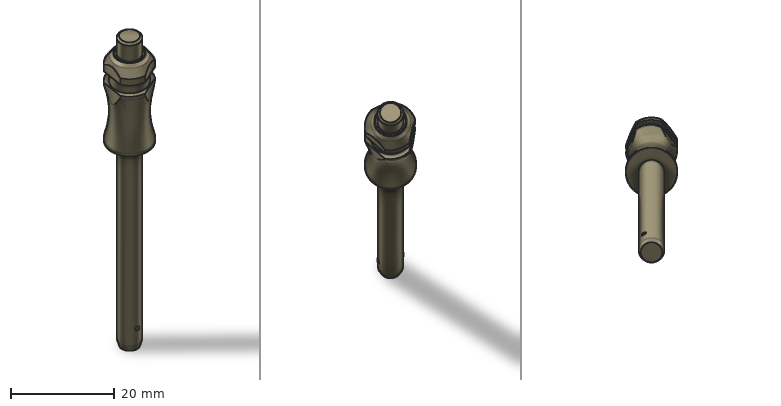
import cadquery as cq
import math

tip_height = 1.6
ball_height = 5.55
grip_bottom = 51.1
grip_top = 66.0
rim_height = 0.7
head_bottom = 68.8
head_edge = 70.4
head_shoulder = 72.25
head_top = 72.9
recess_depth = 0.15
total_height = 77.2

tip_radius = 2.1
pin_radius = 2.51
grip_radius = 5.0
waist_radius = 4.0
neck_radius = 4.0
shoulder_radius = 3.85
head_top_radius = 3.2
recess_radius = 2.9
button_chamfer = 0.5

flat_distance = 4.3
flat_angles = (30, 150, 270)

ball_radius = 0.7
ball_reach = 2.7


def make_body():
    """Revolve the pin, waisted grip, neck, coned head and push button."""
    waist_height = (grip_bottom + grip_top) / 2
    depth = grip_radius - waist_radius
    half_length = (grip_top - grip_bottom) / 2 - rim_height
    arc_radius = (half_length**2 + depth**2) / (2 * depth)
    half_angle = math.asin(half_length / arc_radius) / 2
    mid_radius = waist_radius + arc_radius * (1 - math.cos(half_angle))
    mid_offset = arc_radius * math.sin(half_angle)
    return (
        cq.Workplane("XZ")
        .lineTo(tip_radius, 0)
        .lineTo(pin_radius, tip_height)
        .lineTo(pin_radius, grip_bottom)
        .lineTo(grip_radius, grip_bottom)
        .lineTo(grip_radius, grip_bottom + rim_height)
        .threePointArc((mid_radius, waist_height - mid_offset), (waist_radius, waist_height))
        .threePointArc((mid_radius, waist_height + mid_offset), (grip_radius, grip_top - rim_height))
        .lineTo(grip_radius, grip_top)
        .lineTo(neck_radius, grip_top)
        .lineTo(neck_radius, head_bottom)
        .lineTo(grip_radius, head_bottom)
        .lineTo(grip_radius, head_edge)
        .lineTo(shoulder_radius, head_shoulder)
        .lineTo(head_top_radius, head_top)
        .lineTo(recess_radius, head_top)
        .lineTo(recess_radius, head_top - recess_depth)
        .lineTo(pin_radius, head_top - recess_depth)
        .lineTo(pin_radius, total_height - button_chamfer)
        .lineTo(pin_radius - button_chamfer, total_height)
        .lineTo(0, total_height)
        .close()
        .revolve(360, (0, 0, 0), (0, 1, 0))
    )


def cut_flats(body):
    """Cut the flats through the upper half of the grip and the head."""
    bottom = (grip_bottom + grip_top) / 2
    height = head_top - bottom
    for angle in flat_angles:
        cutter = (
            cq.Workplane("XY")
            .box(grip_radius, 2 * grip_radius, height, centered=(False, True, False))
            .translate((flat_distance, 0, bottom))
            .rotate((0, 0, 0), (0, 0, 1), angle)
        )
        body = body.cut(cutter)
    return body


def add_balls(body):
    """Add the two locking balls that stand out of the pin along X."""
    for side in (-1, 1):
        center = (side * (ball_reach - ball_radius), 0, ball_height)
        body = body.union(cq.Workplane("XY").sphere(ball_radius).translate(center))
    return body


result = add_balls(cut_flats(make_body()))